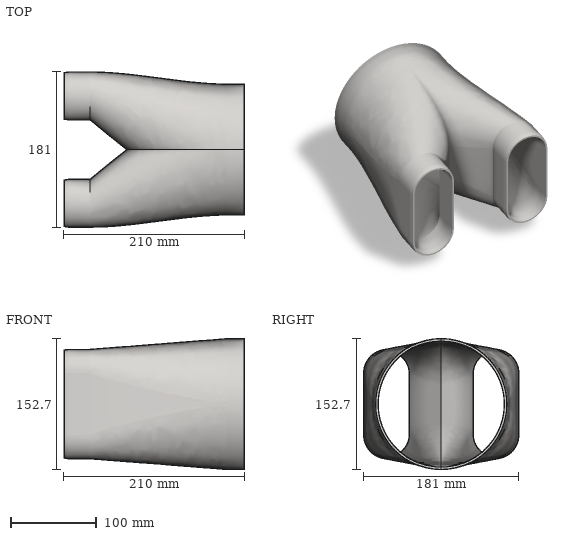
import cadquery as cq
import math

total_length = 210.0
total_width = 181.0
round_radius = 152.7 / 2
round_length = 20.0
slot_width = 56.0
slot_height = 127.7
slot_length = 30.5
lip_length = 5.7
lip_taper = 0.8
wall = 3.0

inner_edge_power = 1.2
section_count = 7
side_arc_half_angle = 3

outer_edge = total_width / 2
inner_edge = outer_edge - slot_width
slot_center = (outer_edge + inner_edge) / 2
round_start = total_length - round_length
transition_length = round_start - slot_length


def slot_profile(x, center_y, radius, half_height):
    """Upright slot in the plane at x: two semicircles joined by side flats."""
    half_flat = half_height - radius
    return (
        cq.Workplane("YZ", origin=(x, center_y, 0))
        .moveTo(radius, -half_flat)
        .lineTo(radius, half_flat)
        .threePointArc((0, half_flat + radius), (-radius, half_flat))
        .lineTo(-radius, -half_flat)
        .threePointArc((0, -half_flat - radius), (radius, -half_flat))
        .close()
    )


def round_profile(inset):
    """Circle where the round end starts, split into four arcs that match the slot's edges."""
    radius = round_radius - inset
    side_y = radius * math.cos(math.radians(side_arc_half_angle))
    side_z = radius * math.sin(math.radians(side_arc_half_angle))
    return (
        cq.Workplane("YZ", origin=(round_start, 0, 0))
        .moveTo(side_y, -side_z)
        .threePointArc((radius, 0), (side_y, side_z))
        .threePointArc((0, radius), (-side_y, side_z))
        .threePointArc((-radius, 0), (-side_y, -side_z))
        .threePointArc((0, -radius), (side_y, -side_z))
        .close()
    )


def transition_profile(t, inset):
    """Section at fraction t of the way from the slot to the round end."""
    outer_blend = t * t * (3 - 2 * t)
    inner_blend = 1 - (1 - t) ** inner_edge_power
    outer_y = outer_edge + (round_radius - outer_edge) * outer_blend
    inner_y = inner_edge + (-round_radius - inner_edge) * inner_blend
    half_height = slot_height / 2 + (round_radius - slot_height / 2) * t
    return slot_profile(
        slot_length + transition_length * t,
        (outer_y + inner_y) / 2,
        (outer_y - inner_y) / 2 - inset,
        half_height - inset,
    )


def transition(inset):
    """Smooth loft from the slot to the full circle."""
    fractions = [i / (section_count - 1) for i in range(section_count - 1)]
    wires = [transition_profile(t, inset).val() for t in fractions]
    wires.append(round_profile(inset).val())
    return cq.Workplane(cq.Solid.makeLoft(wires))


def collar(start, inset):
    """Straight slot-shaped length ending at the transition."""
    profile = slot_profile(start, slot_center, slot_width / 2 - inset, slot_height / 2 - inset)
    return profile.extrude(slot_length - start)


def lip():
    """Tapered tip of the slot collar."""
    taper_angle = math.degrees(math.atan(lip_taper / lip_length))
    profile = slot_profile(lip_length, slot_center, slot_width / 2, slot_height / 2)
    return profile.extrude(-lip_length, taper=taper_angle)


def round_end(inset):
    """Straight cylinder at the round end."""
    return round_profile(inset).extrude(round_length)


def half_duct():
    """Hollow branch on the +Y side, cut open on the centre plane."""
    outside = collar(lip_length, 0).union(lip()).union(transition(0)).union(round_end(0))
    branch = outside.cut(collar(0, wall)).cut(transition(wall)).cut(round_end(wall))
    half_space = cq.Workplane("XY").box(
        total_length, total_width, 2 * round_radius + wall, centered=(False, False, True)
    )
    return branch.intersect(half_space)


def duct_on_side(side):
    """Half duct on the +Y side (side 1) or its mirror image (side -1)."""
    half = half_duct()
    return half if side > 0 else half.mirror("XZ")


halves = []
for side in (1, -1):
    halves.extend(duct_on_side(side).solids().vals())

result = cq.Compound.makeCompound(halves)